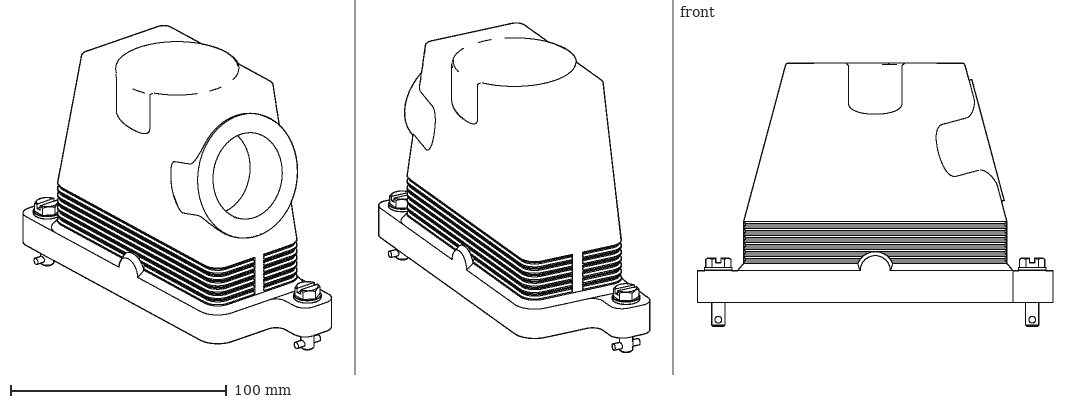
import cadquery as cq
import math


FLANGE_HEIGHT = 14.8
FLANGE_CHAMFER = 2.8
FLANGE_CHAMFER_HEIGHT = 3.3

WALL_HALF_X = 61.0
WALL_HALF_Y = 26.2
WALL_CORNER_RADIUS = 7.6
WALL_TILT = 15.0
HOOD_TOP_Z = 111.0
TOP_CORNER_RADIUS = 5.0
TOP_FILLET = 1.5

RIB_COUNT = 6
BAND_HEIGHT = 19.5
RIB_PITCH = BAND_HEIGHT / RIB_COUNT
RIB_DEPTH = 1.0
RIB_CREST = RIB_PITCH / 2 - RIB_DEPTH
BAND_BOTTOM_Z = FLANGE_HEIGHT + FLANGE_CHAMFER_HEIGHT
WALL_BOTTOM_Z = BAND_BOTTOM_Z + BAND_HEIGHT
WALL_TOP_HALF_X = WALL_HALF_X - (HOOD_TOP_Z - WALL_BOTTOM_Z) * math.tan(math.radians(WALL_TILT))
BAND_STRIP_WIDTH = 5.5

LUG_END_X = 82.5
LUG_INNER_Y = 8.7
LUG_CORNER_RADIUS = 6.5
LUG_ROOT_RADIUS = 5.5

BOSS_RADIUS = WALL_HALF_Y + FLANGE_CHAMFER
BOSS_STRAIGHT = 18.6
BOSS_INNER_FILLET = 6.1
BOSS_LENGTH = BOSS_STRAIGHT + BOSS_INNER_FILLET
TOP_ENTRY_RISE = 0.08
TOP_ENTRY_RIM_FILLET = 0.8
SIDE_ENTRY_X = 52.3
SIDE_ENTRY_Z = 75.4
SIDE_ENTRY_BORE_RADIUS = 20.1

PAD_FACE_RADIUS = 7.0
PAD_ROOT_RADIUS = 8.7

SCREW_X = 72.8
SCREW_Y = 19.1
SHAFT_RADIUS = 3.1
SHAFT_TIP_Z = -11.0
SHAFT_TIP_CHAMFER = 0.7
COLLAR_RADIUS = 6.5
COLLAR_HEIGHT = 1.5
COLLAR_CHAMFER = 0.2
HEAD_SIDES = 6
HEAD_ACROSS_FLATS = 10.2
HEAD_HEIGHT = 4.3
HEAD_CROWN_RADIUS = 5.0
HEAD_CROWN_ANGLE = 30.0
SLOT_WIDTH = 2.3
SLOT_DEPTH = 2.1
CROSS_PIN_RADIUS = 1.57
CROSS_PIN_LENGTH = 13.2
CROSS_PIN_Z = -8.0


def rounded_outline(half_x, half_y, corner_radius, z):
    """Closed rounded rectangle centred on the Z axis at height z."""
    outline = cq.Workplane().workplane(offset=z).rect(2 * half_x, 2 * half_y).val()
    return outline.fillet2D(corner_radius, outline.Vertices())


def band_outline(outset, z):
    """Outline of the wall's foot, moved outwards by outset."""
    return rounded_outline(WALL_HALF_X + outset, WALL_HALF_Y + outset, WALL_CORNER_RADIUS + outset, z)


def straight_loft(*outlines):
    """Solid with straight sides from each outline to the next."""
    return cq.Workplane(cq.Solid.makeLoft(list(outlines), True))


def make_flange():
    """Flange with a lug at two opposite corners and a chamfer up to the ribbed band."""
    half_x = WALL_HALF_X + FLANGE_CHAMFER
    half_y = WALL_HALF_Y + FLANGE_CHAMFER
    plate = straight_loft(band_outline(FLANGE_CHAMFER, 0), band_outline(FLANGE_CHAMFER, FLANGE_HEIGHT))
    lug = (
        cq.Workplane()
        .box(LUG_END_X, half_y - LUG_INNER_Y, FLANGE_HEIGHT, centered=False)
        .translate((0, LUG_INNER_Y, 0))
        .edges("|Z and >X")
        .fillet(LUG_CORNER_RADIUS)
    )
    for angle in (0, 180):
        plate = plate.union(lug.rotate((0, 0, 0), (0, 0, 1), angle))
    for side in (1, -1):
        lug_root = (side * half_x, side * LUG_INNER_Y, FLANGE_HEIGHT / 2)
        plate = plate.edges(cq.selectors.NearestToPointSelector(lug_root)).fillet(LUG_ROOT_RADIUS)
    chamfer = straight_loft(band_outline(FLANGE_CHAMFER, FLANGE_HEIGHT), band_outline(0, BAND_BOTTOM_Z))
    return plate.union(chamfer)


def make_ribbed_band():
    """Band with ribs all round, broken by a flat strip in the middle of each end."""
    groove_top_z = WALL_BOTTOM_Z - RIB_DEPTH
    band = straight_loft(band_outline(-RIB_DEPTH, FLANGE_HEIGHT), band_outline(-RIB_DEPTH, groove_top_z))
    band = band.union(straight_loft(band_outline(-RIB_DEPTH, groove_top_z), band_outline(0, WALL_BOTTOM_Z)))
    for index in range(RIB_COUNT):
        crest_z = BAND_BOTTOM_Z + index * RIB_PITCH
        rib = straight_loft(
            band_outline(-RIB_DEPTH, crest_z - RIB_DEPTH),
            band_outline(0, crest_z),
            band_outline(0, crest_z + RIB_CREST),
            band_outline(-RIB_DEPTH, crest_z + RIB_CREST + RIB_DEPTH),
        )
        band = band.union(rib)
    strips = (
        cq.Workplane()
        .box(2 * WALL_HALF_X, BAND_STRIP_WIDTH, BAND_HEIGHT, centered=(True, True, False))
        .translate((0, 0, BAND_BOTTOM_Z))
    )
    return band.union(strips)


def make_wall():
    """Hood above the band: upright long sides, leaning ends and a rounded top edge."""
    return straight_loft(
        band_outline(0, WALL_BOTTOM_Z),
        rounded_outline(WALL_TOP_HALF_X, WALL_HALF_Y, TOP_CORNER_RADIUS, HOOD_TOP_Z),
    ).faces(">Z").edges().fillet(TOP_FILLET)


def make_boss():
    """Round boss along Z with its outer face on Z = 0 and its body below."""
    return (
        cq.Workplane()
        .circle(BOSS_RADIUS)
        .extrude(-BOSS_LENGTH)
        .faces("<Z")
        .edges()
        .fillet(BOSS_INNER_FILLET)
    )


def place_side_entry(shape):
    """Move a shape from the Z axis to the side entry's axis, square to the leaning +X end."""
    return shape.rotate((0, 0, 0), (0, 1, 0), 90 - WALL_TILT).translate((SIDE_ENTRY_X, 0, SIDE_ENTRY_Z))


def make_pads():
    """Half-round pads on both long sides, flush with the flange and widening towards the hood."""
    pad = cq.Workplane(
        cq.Solid.makeCone(
            PAD_ROOT_RADIUS,
            PAD_FACE_RADIUS,
            FLANGE_CHAMFER,
            cq.Vector(0, WALL_HALF_Y, FLANGE_HEIGHT),
            cq.Vector(0, 1, 0),
        )
    )
    root = (
        cq.Workplane("XZ", origin=(0, WALL_HALF_Y, FLANGE_HEIGHT))
        .circle(PAD_ROOT_RADIUS)
        .extrude(RIB_DEPTH)
    )
    pad = pad.union(root)
    return pad.union(pad.mirror("XZ"))


def make_housing():
    """Hood with its entries and the two through holes for the lock screws."""
    housing = make_flange().union(make_ribbed_band()).union(make_wall()).union(make_pads())
    top_entry = make_boss().faces(">Z").edges().fillet(TOP_ENTRY_RIM_FILLET)
    housing = housing.union(top_entry.translate((0, 0, HOOD_TOP_Z + TOP_ENTRY_RISE)))
    housing = housing.union(place_side_entry(make_boss()))
    bore = cq.Workplane().circle(SIDE_ENTRY_BORE_RADIUS).extrude(-BOSS_LENGTH)
    housing = housing.cut(place_side_entry(bore))
    for side in (1, -1):
        screw_hole = cq.Workplane().center(side * SCREW_X, side * SCREW_Y).circle(SHAFT_RADIUS)
        housing = housing.cut(screw_hole.extrude(FLANGE_HEIGHT))
    return housing


def make_screw_head():
    """Hexagon head with a crowned top and a screwdriver slot along Y, standing on Z = 0."""
    corner_radius = HEAD_ACROSS_FLATS / 2 / math.cos(math.pi / HEAD_SIDES)
    crown_drop = (corner_radius - HEAD_CROWN_RADIUS) * math.tan(math.radians(HEAD_CROWN_ANGLE))
    crown = (
        cq.Workplane("XZ")
        .polyline(
            [
                (0, 0),
                (corner_radius, 0),
                (corner_radius, HEAD_HEIGHT - crown_drop),
                (HEAD_CROWN_RADIUS, HEAD_HEIGHT),
                (0, HEAD_HEIGHT),
            ]
        )
        .close()
        .revolve(360, (0, 0), (0, 1))
    )
    slot = (
        cq.Workplane()
        .box(SLOT_WIDTH, 2 * corner_radius, SLOT_DEPTH, centered=(True, True, False))
        .translate((0, 0, HEAD_HEIGHT - SLOT_DEPTH))
    )
    hexagon = cq.Workplane().polygon(HEAD_SIDES, 2 * corner_radius).extrude(HEAD_HEIGHT)
    return hexagon.intersect(crown).cut(slot)


def make_lock_screw(x, y):
    """Lock screw with a slotted head, a collar, a plain shaft and a cross pin near its tip."""
    shaft = (
        cq.Workplane()
        .workplane(offset=SHAFT_TIP_Z)
        .circle(SHAFT_RADIUS)
        .extrude(FLANGE_HEIGHT - SHAFT_TIP_Z)
        .faces("<Z")
        .edges()
        .chamfer(SHAFT_TIP_CHAMFER)
    )
    collar = (
        cq.Workplane()
        .workplane(offset=FLANGE_HEIGHT)
        .circle(COLLAR_RADIUS)
        .extrude(COLLAR_HEIGHT)
        .faces("<Z or >Z")
        .edges()
        .chamfer(COLLAR_CHAMFER)
    )
    head = make_screw_head().translate((0, 0, FLANGE_HEIGHT + COLLAR_HEIGHT))
    cross_pin = (
        cq.Workplane("XZ", origin=(0, 0, CROSS_PIN_Z))
        .circle(CROSS_PIN_RADIUS)
        .extrude(CROSS_PIN_LENGTH / 2, both=True)
    )
    return shaft.union(collar).union(head).union(cross_pin).translate((x, y, 0))


housing = make_housing()
lock_screws = [make_lock_screw(side * SCREW_X, side * SCREW_Y) for side in (1, -1)]

result = cq.Compound.makeCompound([body.solids().val() for body in (housing, *lock_screws)])